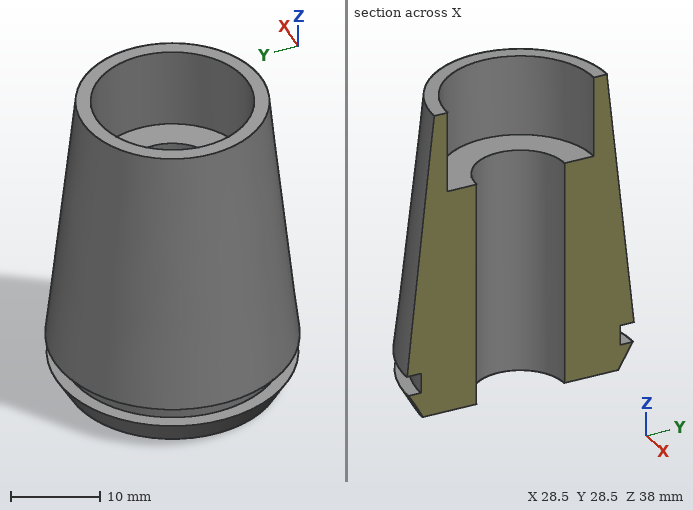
import cadquery as cq
import math

height = 38.0
max_diameter = 28.5

body_base_z = 5.6
taper_angle_deg = 6.0
body_base_radius = max_diameter / 2
body_height = height - body_base_z
body_top_radius = body_base_radius - body_height * math.tan(math.radians(taper_angle_deg))

nose_height = 3.2
nose_angle_deg = 30.0
nose_top_diameter = 28.2
nose_top_radius = nose_top_diameter / 2
nose_tip_radius = nose_top_radius - nose_height * math.tan(math.radians(nose_angle_deg))

groove_diameter = 25.0
groove_radius = groove_diameter / 2

counterbore_diameter = 18.3
counterbore_depth = 10.0
through_hole_diameter = 11.0


def make_outer_body():
    """Revolve the nose, groove and tapered body about the Z axis."""
    half_profile = [
        (0, 0),
        (nose_tip_radius, 0),
        (nose_top_radius, nose_height),
        (groove_radius, nose_height),
        (groove_radius, body_base_z),
        (body_base_radius, body_base_z),
        (body_top_radius, height),
        (0, height),
    ]
    profile = cq.Workplane("YZ").polyline(half_profile).close()
    return profile.revolve(360, (0, 0, 0), (0, 1, 0))


def cut_stepped_bore(body):
    """Drill the through hole and its wider counterbore from the top face."""
    top_face = body.faces(">Z").workplane()
    return top_face.cboreHole(through_hole_diameter, counterbore_diameter, counterbore_depth)


result = cut_stepped_bore(make_outer_body())